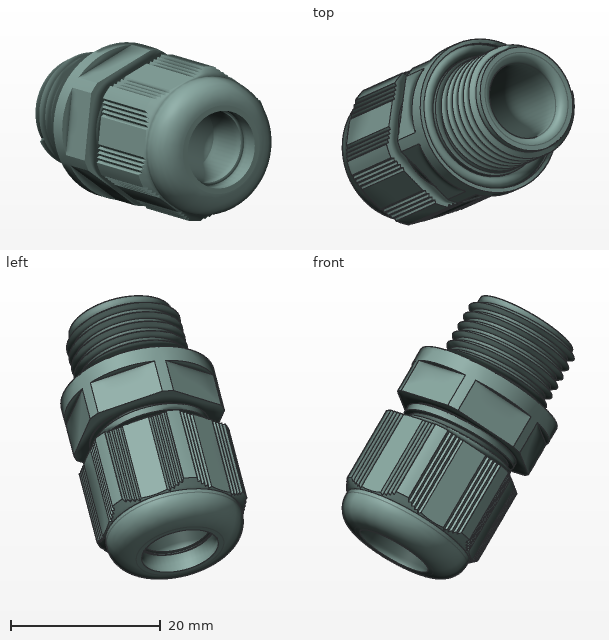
import cadquery as cq
import math

LEAN_TO_X = 30.3
LEAN_TO_Y = 14.65
ROLL = -8.44

CAP_TOP = 15.7
HEX_BOTTOM = 18.74
HEX_LEDGE = 23.54
FLANGE_TOP = 25.75
GLAND_TOP = 36.0

ACROSS_FLATS = 19.0
SIDES = 6
SIDE_ANGLE = 360 / SIDES

CAP_CORNER_D = 20.92
DOME_D = 18.73
DOME_FACE_D = 12.03
DOME_RADIUS = (DOME_D - DOME_FACE_D) / 2
DOME_TOP = 3.9
CAP_HOLE_D = 10.52
CAP_FLOOR = 3.05
HOLE_RELIEF_D = 10.8
HOLE_RELIEF_DEPTH = 0.3
CAP_BORE_D = 16.4
GRIP_FLAT_WIDTH = 3.72
GRIP_GROOVES = 4
GRIP_PITCH = 0.62
GRIP_DEPTH = 0.3

FLANGE_D = 21.08
BORE_D = 10.36
LIP_D = 12.76
LIP_RADIUS = (LIP_D - BORE_D) / 2
GROOVE_OUTER_D = 19.9
GROOVE_INNER_D = 16.4
RING_SECTION_D = (GROOVE_OUTER_D - GROOVE_INNER_D) / 2
NECK_BOTTOM = 6.0
SEAT_D = 12.8
SEAT_TOP = 10.0

MALE_ROOT_D = 14.23
MALE_CREST_D = 15.78
MALE_PITCH = 1.5
MALE_BASE_WIDTH = 1.05
MALE_TURNS = 6.92
MALE_START = 24.74
MALE_START_ANGLE = 54.0
NECK_ROOT_D = 14.8
NECK_CREST_D = 16.36
NECK_PITCH = 1.8
NECK_BASE_WIDTH = 1.1
NECK_CREST_WIDTH = 0.95
NECK_TURNS = 6.7
NECK_START = 7.63
NECK_START_ANGLE = 0.0
THREAD_SINK = 0.2

SEAL_D = 12.76
SEAL_BORE_D = 9.88


def cylinder(diameter, bottom, top):
    """A cylinder on the gland axis."""
    return cq.Workplane("XY").workplane(offset=bottom).circle(diameter / 2).extrude(top - bottom)


def hexagon(bottom, top):
    """A hexagonal prism with the centre of one flat on local +X."""
    corner_to_corner = ACROSS_FLATS / math.cos(math.pi / SIDES)
    prism = cq.Workplane("XY").workplane(offset=bottom).polygon(SIDES, corner_to_corner).extrude(top - bottom)
    return prism.rotate((0, 0, 0), (0, 0, 1), SIDE_ANGLE / 2)


def thread_ridge(root_d, crest_d, base_width, crest_width, pitch, turns, start, start_angle):
    """A helical ridge whose middle starts at the given height and angle."""
    root = root_d / 2
    crest = crest_d / 2
    flank = (base_width - crest_width) / 2 / (crest - root)
    sunk_half = base_width / 2 + flank * THREAD_SINK
    inner = root - THREAD_SINK
    outline = [(inner, -sunk_half), (crest, -crest_width / 2)]
    if crest_width > 0:
        outline.append((crest, crest_width / 2))
    outline.append((inner, sunk_half))
    path = cq.Workplane(cq.Wire.makeHelix(pitch, pitch * turns, root))
    ridge = cq.Workplane("XZ").polyline(outline).close().sweep(path, isFrenet=True)
    return ridge.rotate((0, 0, 0), (0, 0, 1), start_angle).translate((0, 0, start))


def make_cap():
    chamfer_height = (CAP_CORNER_D - DOME_D) / 2
    envelope = (
        cq.Workplane("XZ")
        .moveTo(0, 0)
        .lineTo(DOME_FACE_D / 2, 0)
        .radiusArc((DOME_D / 2, DOME_RADIUS), -DOME_RADIUS)
        .lineTo(DOME_D / 2, DOME_TOP)
        .lineTo(CAP_CORNER_D / 2, DOME_TOP + chamfer_height)
        .lineTo(CAP_CORNER_D / 2, CAP_TOP)
        .lineTo(0, CAP_TOP)
        .close()
        .revolve(360, (0, 0, 0), (0, 1, 0))
    )
    cap = envelope.intersect(hexagon(0, CAP_TOP))
    cap = cap.cut(grip_grooves())
    cap = cap.cut(cylinder(CAP_HOLE_D, 0, CAP_FLOOR))
    cap = cap.cut(cylinder(HOLE_RELIEF_D, CAP_FLOOR - HOLE_RELIEF_DEPTH, CAP_FLOOR))
    return cap.cut(cylinder(CAP_BORE_D, CAP_FLOOR, CAP_TOP))


def grip_grooves():
    """V grooves along the cap, in a patch on each side of every flat."""
    apothem = ACROSS_FLATS / 2
    patch = cq.Workplane("XY").workplane(offset=DOME_TOP)
    for index in range(GRIP_GROOVES):
        middle = GRIP_FLAT_WIDTH / 2 + (index + 0.5) * GRIP_PITCH
        for y in (-middle, middle):
            patch = (
                patch.moveTo(apothem, y - GRIP_PITCH / 2)
                .lineTo(apothem - GRIP_DEPTH, y)
                .lineTo(apothem, y + GRIP_PITCH / 2)
                .close()
            )
    one_side = patch.extrude(CAP_TOP - DOME_TOP)
    grooves = cq.Workplane("XY")
    for side in range(SIDES):
        grooves = grooves.add(one_side.rotate((0, 0, 0), (0, 0, 1), side * SIDE_ANGLE))
    return cq.Workplane(cq.Compound.makeCompound(grooves.solids().vals()))


def make_body():
    flange = cylinder(FLANGE_D, HEX_BOTTOM, FLANGE_TOP)
    hex_below_ledge = hexagon(HEX_BOTTOM, HEX_LEDGE)
    flange = flange.intersect(hex_below_ledge.union(cylinder(FLANGE_D, HEX_LEDGE, FLANGE_TOP)))
    ring_groove_bottom = FLANGE_TOP - RING_SECTION_D
    ring_groove = cylinder(GROOVE_OUTER_D, ring_groove_bottom, FLANGE_TOP).cut(
        cylinder(GROOVE_INNER_D, ring_groove_bottom, FLANGE_TOP)
    )
    body = flange.cut(ring_groove)
    body = body.union(cylinder(NECK_ROOT_D, NECK_BOTTOM, HEX_BOTTOM))
    body = body.union(cylinder(MALE_ROOT_D, FLANGE_TOP, GLAND_TOP))
    body = body.union(
        thread_ridge(
            MALE_ROOT_D, MALE_CREST_D, MALE_BASE_WIDTH, 0, MALE_PITCH, MALE_TURNS, MALE_START, MALE_START_ANGLE
        )
    )
    body = body.union(
        thread_ridge(
            NECK_ROOT_D,
            NECK_CREST_D,
            NECK_BASE_WIDTH,
            NECK_CREST_WIDTH,
            NECK_PITCH,
            NECK_TURNS,
            NECK_START,
            NECK_START_ANGLE,
        )
    )
    return body.cut(cylinder(SEAT_D, NECK_BOTTOM, SEAT_TOP)).cut(bore_with_rounded_mouth())


def bore_with_rounded_mouth():
    bore = BORE_D / 2
    return (
        cq.Workplane("XZ")
        .moveTo(0, NECK_BOTTOM)
        .lineTo(bore, NECK_BOTTOM)
        .lineTo(bore, GLAND_TOP - LIP_RADIUS)
        .radiusArc((LIP_D / 2, GLAND_TOP), LIP_RADIUS)
        .lineTo(0, GLAND_TOP)
        .close()
        .revolve(360, (0, 0, 0), (0, 1, 0))
    )


def make_seal():
    return cylinder(SEAL_D, CAP_FLOOR, SEAT_TOP).cut(cylinder(SEAL_BORE_D, CAP_FLOOR, SEAT_TOP))


def make_sealing_ring():
    section = RING_SECTION_D / 2
    middle = (GROOVE_OUTER_D + GROOVE_INNER_D) / 4
    return (
        cq.Workplane("XZ")
        .center(middle, FLANGE_TOP - section)
        .circle(section)
        .revolve(360, (-middle, 0, 0), (-middle, 1, 0))
    )


def gland_plane():
    """The plane across the gland axis whose origin is the open end of the cap."""
    axis = cq.Vector(math.tan(math.radians(LEAN_TO_X)), math.tan(math.radians(LEAN_TO_Y)), 1).normalized()
    plane = cq.Plane(origin=(axis * (-GLAND_TOP / 2)).toTuple(), xDir=(1, 0, 0), normal=axis.toTuple())
    return plane.rotated((0, 0, ROLL))


cap = make_cap()
body = make_body()
seal = make_seal()
sealing_ring = make_sealing_ring()

placement = gland_plane().location
result = cq.Compound.makeCompound([part.val().moved(placement) for part in (cap, body, seal, sealing_ring)])